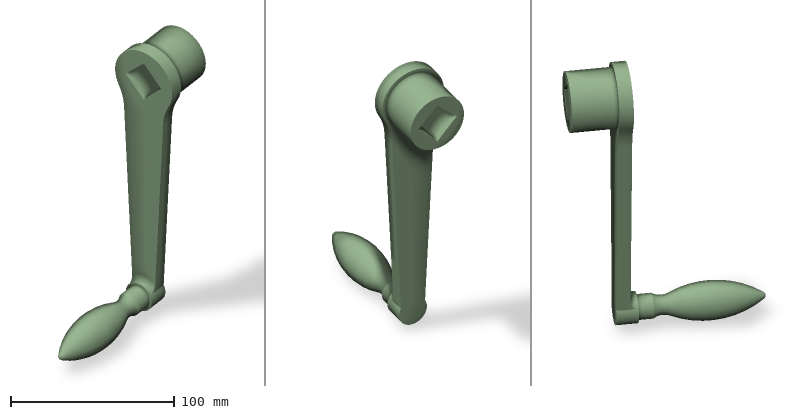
import cadquery as cq
import math


axis_distance = 160.0
arm_thickness = 9.0
arm_half_width_top = 16.3
arm_half_width_bottom = 8.4
head_radius = 22.0
neck_blend_radius = 33.6

hub_radius = 19.0
hub_length = 29.0
square_side = 19.5

boss_radius = 10.0
boss_height = 5.0
boss_fillet = 3.5

grip_length = 80.0
grip_radius = 12.5
grip_curve_radius = 60.6
tip_radius = 2.5
shank_radius = 8.0
shank_length = 9.7
waist_radius = 6.2
waist_position = 15.5

boss_length = arm_thickness + boss_height


def extrude_forward(sketch, back_y, length):
    """Extrude an XZ sketch towards -Y, starting from the plane Y = back_y."""
    return sketch.extrude(length).translate((0, back_y, 0))


def revolve_about_grip_axis(profile):
    """Revolve a (radius, forward distance) profile about the grip axis."""
    solid = profile.close().revolve(360, (0, 0, 0), (0, 1, 0))
    return solid.rotate((0, 0, 0), (1, 0, 0), 180).translate((0, 0, -axis_distance))


def arm_outline():
    """Tapered outline that blends tangentially into the round head."""
    taper = math.atan2(arm_half_width_top - arm_half_width_bottom, axis_distance)

    side_distance = arm_half_width_top * math.cos(taper) + neck_blend_radius
    centre_distance = head_radius + neck_blend_radius
    centre_angle = -taper - math.acos(side_distance / centre_distance)
    blend_x = centre_distance * math.cos(centre_angle)
    blend_z = centre_distance * math.sin(centre_angle)

    def on_blend(angle):
        return (
            blend_x + neck_blend_radius * math.cos(angle),
            blend_z + neck_blend_radius * math.sin(angle),
        )

    head_angle = math.pi + centre_angle
    side_angle = math.pi - taper
    head_x, head_z = on_blend(head_angle)
    middle_x, middle_z = on_blend((head_angle + side_angle) / 2)
    side_x, side_z = on_blend(side_angle)

    return (
        cq.Workplane("XZ")
        .moveTo(arm_half_width_bottom, -axis_distance)
        .lineTo(side_x, side_z)
        .threePointArc((middle_x, middle_z), (head_x, head_z))
        .threePointArc((0, head_radius), (-head_x, head_z))
        .threePointArc((-middle_x, middle_z), (-side_x, side_z))
        .lineTo(-arm_half_width_bottom, -axis_distance)
        .close()
    )


def make_hub():
    """Round hub behind the head of the arm."""
    sketch = cq.Workplane("XZ").circle(hub_radius)
    return extrude_forward(sketch, hub_length, hub_length)


def make_square_hole():
    """Square socket standing on a corner, through the hub and the arm."""
    sketch = cq.Workplane("XZ").transformed(rotate=(0, 0, 45)).rect(square_side, square_side)
    return extrude_forward(sketch, hub_length, hub_length + arm_thickness)


def make_boss():
    """Round end of the arm that carries the grip."""
    sketch = cq.Workplane("XZ").center(0, -axis_distance).circle(boss_radius)
    return extrude_forward(sketch, 0, boss_length)


def make_boss_fillet():
    """Concave flare from the arm face to the boss, trimmed to the arm outline."""
    offset = boss_fillet * (1 - math.sqrt(0.5))
    flare_profile = (
        cq.Workplane("XY")
        .moveTo(0, arm_thickness)
        .lineTo(boss_radius + boss_fillet, arm_thickness)
        .threePointArc(
            (boss_radius + offset, arm_thickness + offset),
            (boss_radius, arm_thickness + boss_fillet),
        )
        .lineTo(0, arm_thickness + boss_fillet)
    )
    return revolve_about_grip_axis(flare_profile).intersect(arm_outline().extrude(boss_length))


def make_grip():
    """Turned grip: plain shank, narrow waist, long convex body and ball tip."""
    curve_depth = grip_curve_radius - grip_radius
    tip_centre = grip_length - tip_radius
    tip_gap = grip_curve_radius - tip_radius
    belly_position = tip_centre - math.sqrt(tip_gap**2 - curve_depth**2)

    waist_drop = grip_radius - waist_radius
    waist_to_belly = belly_position - waist_position
    centre_gap = (waist_to_belly**2 + waist_drop**2) / (2 * waist_drop)
    body_angle = math.asin(waist_to_belly / centre_gap)

    def on_body(angle):
        return (
            grip_curve_radius * math.cos(angle) - curve_depth,
            belly_position + grip_curve_radius * math.sin(angle),
        )

    tip_angle = math.acos(curve_depth / tip_gap)
    tip_middle_angle = (tip_angle + math.pi / 2) / 2
    tip_middle = (
        tip_radius * math.cos(tip_middle_angle),
        tip_centre + tip_radius * math.sin(tip_middle_angle),
    )

    lead_in = waist_position - shank_length
    lead_drop = shank_radius - waist_radius
    lead_radius = (lead_in**2 + lead_drop**2) / (2 * lead_drop)
    lead_half_angle = math.asin(lead_in / lead_radius) / 2
    lead_middle = (
        waist_radius + lead_radius * (1 - math.cos(lead_half_angle)),
        waist_position - lead_radius * math.sin(lead_half_angle),
    )
    profile = (
        cq.Workplane("XY")
        .lineTo(shank_radius, 0)
        .lineTo(shank_radius, shank_length)
        .threePointArc(lead_middle, (waist_radius, waist_position))
        .tangentArcPoint(on_body(-body_angle), relative=False)
        .threePointArc((grip_radius, belly_position), on_body(tip_angle))
        .threePointArc(tip_middle, (0, grip_length))
    )
    return revolve_about_grip_axis(profile).translate((0, -boss_length, 0))


result = (
    arm_outline().extrude(arm_thickness)
    .union(make_hub())
    .union(make_boss())
    .union(make_boss_fillet())
    .union(make_grip())
    .cut(make_square_hole())
)